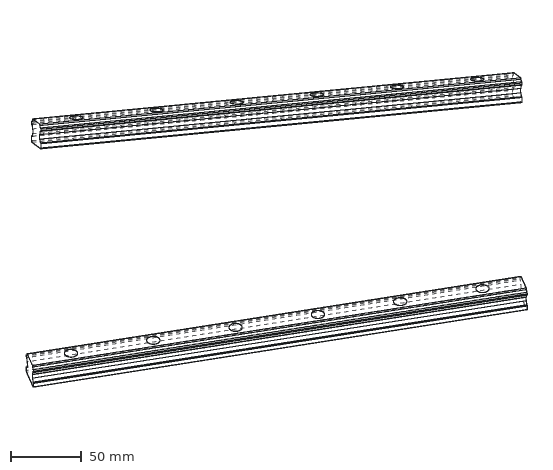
import cadquery as cq

LENGTH = 360.0
WIDTH = 20.0
HEIGHT = 17.5
HALF_WIDTH = WIDTH / 2

BASE_CHAMFER = 0.9
SHELF_HEIGHT = 4.5
SHELF_CHAMFER = 0.5
SHELF_INNER_HALF_WIDTH = 9.0
FLANK_RISE = 2.35

NECK_HALF_WIDTH = 7.0
NECK_BOTTOM = 7.5
NECK_TOP = 9.0
NECK_CURVE_RADIUS = 1.0
FLANK_TOP_HALF_WIDTH = NECK_HALF_WIDTH + NECK_CURVE_RADIUS / 2
FLANK_TOP = SHELF_HEIGHT + FLANK_RISE
HEAD_BOTTOM = NECK_TOP + NECK_CURVE_RADIUS

TOP_HALF_WIDTH = 7.2
LOBE_CENTER_HEIGHT = 14.0
LOBE_HALF_HEIGHT = 0.55
LOBE_BEVEL = 0.9
GROOVE_INNER_HALF_WIDTH = 8.0
GROOVE_OUTER_HALF_WIDTH = HALF_WIDTH - LOBE_BEVEL
GROOVE_OUTER_OFFSET = 1.25
GROOVE_INNER_OFFSET = 2.7
GROOVE_SAG = 0.3

HOLE_COUNT = 6
HOLE_PITCH = LENGTH / HOLE_COUNT
HOLE_DIAMETER = 9.5
HOLE_DEPTH = 0.18


def rail_body():
    """Half of the cross-section, extruded along Y and mirrored across the YZ plane."""
    half = (
        cq.Workplane("XZ", origin=(0, LENGTH / 2, 0))
        .moveTo(0, 0)
        .lineTo(HALF_WIDTH - BASE_CHAMFER, 0)
        .lineTo(HALF_WIDTH, BASE_CHAMFER)
        .lineTo(HALF_WIDTH, SHELF_HEIGHT - SHELF_CHAMFER)
        .lineTo(HALF_WIDTH - SHELF_CHAMFER, SHELF_HEIGHT)
        .lineTo(SHELF_INNER_HALF_WIDTH, SHELF_HEIGHT)
        .lineTo(FLANK_TOP_HALF_WIDTH, FLANK_TOP)
        .radiusArc((NECK_HALF_WIDTH, NECK_BOTTOM), NECK_CURVE_RADIUS)
        .lineTo(NECK_HALF_WIDTH, NECK_TOP)
        .radiusArc((GROOVE_INNER_HALF_WIDTH, HEAD_BOTTOM), NECK_CURVE_RADIUS)
        .lineTo(GROOVE_INNER_HALF_WIDTH, LOBE_CENTER_HEIGHT - GROOVE_INNER_OFFSET)
        .sagittaArc((GROOVE_OUTER_HALF_WIDTH, LOBE_CENTER_HEIGHT - GROOVE_OUTER_OFFSET), GROOVE_SAG)
        .lineTo(HALF_WIDTH, LOBE_CENTER_HEIGHT - LOBE_HALF_HEIGHT)
        .lineTo(HALF_WIDTH, LOBE_CENTER_HEIGHT + LOBE_HALF_HEIGHT)
        .lineTo(GROOVE_OUTER_HALF_WIDTH, LOBE_CENTER_HEIGHT + GROOVE_OUTER_OFFSET)
        .sagittaArc((GROOVE_INNER_HALF_WIDTH, LOBE_CENTER_HEIGHT + GROOVE_INNER_OFFSET), GROOVE_SAG)
        .lineTo(TOP_HALF_WIDTH, HEIGHT)
        .lineTo(0, HEIGHT)
        .close()
        .extrude(LENGTH)
    )
    return half.union(half.mirror("YZ"))


def top_recesses():
    """Evenly pitched round cutters, starting half a pitch from each end."""
    return (
        cq.Workplane("XY", origin=(0, 0, HEIGHT - HOLE_DEPTH))
        .rarray(3.5, HOLE_PITCH, 1, HOLE_COUNT)
        .circle(HOLE_DIAMETER / 2)
        .extrude(HOLE_DEPTH)
    )


result = rail_body().cut(top_recesses()).clean()